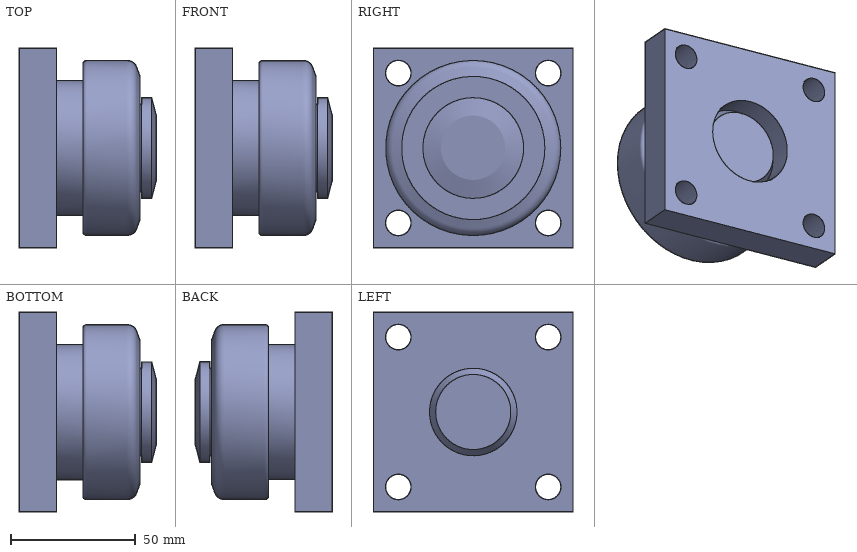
import cadquery as cq
import math

plate_side = 80.0
plate_thickness = 15.0
bolt_spacing = 60.0
bolt_hole_diameter = 10.1

bore_radius = 17.5
spigot_recess = 6.7
spigot_chamfer_height = 2.5
spigot_chamfer_length = 4.3

collar_radius = 27.1
roller_start = 25.5
roller_end = 48.5
roller_radius = 35.0
back_fillet = 1.5
crown_start = 43.4
crown_radius = 4.0
crown_angle = math.radians(70)
neck_radius = 17.6
cap_start = 49.0
cap_radius = 20.2
cap_bevel_start = 53.1
cap_end = 55.0
cap_face_radius = 12.9


def make_plate():
    """Square plate with a central bore and four bolt holes."""
    plate = cq.Workplane("YZ").rect(plate_side, plate_side).extrude(plate_thickness)
    bore = cq.Workplane("YZ").circle(bore_radius).extrude(plate_thickness)
    bolt_holes = (
        cq.Workplane("YZ")
        .rect(bolt_spacing, bolt_spacing, forConstruction=True)
        .vertices()
        .circle(bolt_hole_diameter / 2)
        .extrude(plate_thickness)
    )
    return plate.cut(bore).cut(bolt_holes)


def crown_point(angle):
    """Point on the rounded front edge, at an angle from its start on the rim."""
    x = crown_start + crown_radius * math.sin(angle)
    radius = roller_radius - crown_radius * (1 - math.cos(angle))
    return x, radius


def make_roller():
    """Spigot, collar, crowned roller and end cap, revolved about the X axis."""
    crown_end_x, crown_end_radius = crown_point(crown_angle)
    front_radius = crown_end_radius - (roller_end - crown_end_x) * math.tan(crown_angle)
    fillet_middle = back_fillet * (1 - math.sqrt(0.5))

    profile = (
        cq.Workplane("XY")
        .moveTo(spigot_recess, 0)
        .lineTo(spigot_recess, bore_radius - spigot_chamfer_height)
        .lineTo(spigot_recess + spigot_chamfer_length, bore_radius)
        .lineTo(plate_thickness, bore_radius)
        .lineTo(plate_thickness, collar_radius)
        .lineTo(roller_start, collar_radius)
        .lineTo(roller_start, roller_radius - back_fillet)
        .threePointArc(
            (roller_start + fillet_middle, roller_radius - fillet_middle),
            (roller_start + back_fillet, roller_radius),
        )
        .lineTo(crown_start, roller_radius)
        .threePointArc(crown_point(crown_angle / 2), (crown_end_x, crown_end_radius))
        .lineTo(roller_end, front_radius)
        .lineTo(roller_end, neck_radius)
        .lineTo(cap_start, neck_radius)
        .lineTo(cap_start, cap_radius)
        .lineTo(cap_bevel_start, cap_radius)
        .lineTo(cap_end, cap_face_radius)
        .lineTo(cap_end, 0)
        .close()
    )
    return profile.revolve(360, (0, 0, 0), (1, 0, 0))


plate = make_plate()
roller = make_roller()
result = cq.Compound.makeCompound([plate.val(), roller.val()])